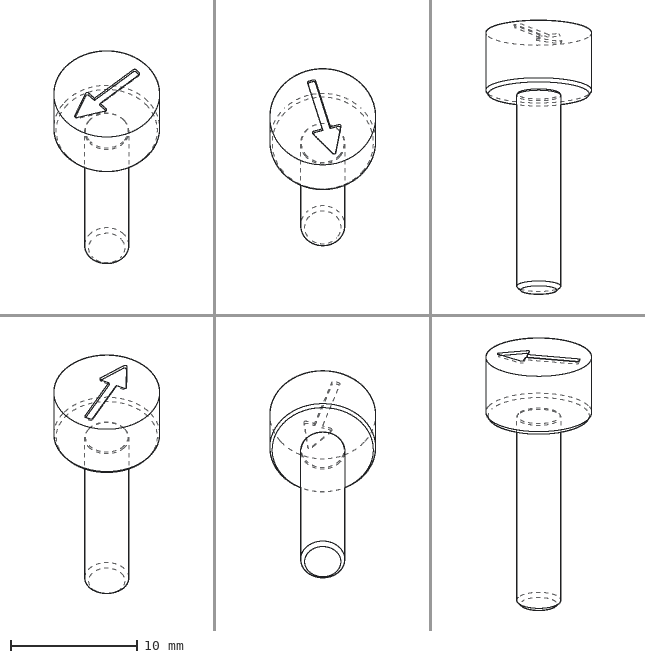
import cadquery as cq

total_length = 21.0
head_diameter = 8.4
head_height = 5.0
head_chamfer_height = 0.3
head_chamfer_width = 0.19
pin_diameter = 3.5
pin_tip_chamfer = 0.32
neck_height = 0.13
neck_inset = 0.06

arrow_depth = 0.2
arrow_wall_taper = 12.0
arrow_tail_y = 3.3
arrow_shoulder_y = -1.0
arrow_tip_y = -3.55
arrow_shaft_width = 0.67
arrow_head_width = 2.52
arrow_corner_radius = 0.15


def turned_body():
    """Head and pin, revolved about Z with the pin tip at z = 0."""
    head_radius = head_diameter / 2
    pin_radius = pin_diameter / 2
    head_bottom = total_length - head_height
    neck_radius = pin_radius - neck_inset
    profile = [
        (0, 0),
        (pin_radius - pin_tip_chamfer, 0),
        (pin_radius, pin_tip_chamfer),
        (pin_radius, head_bottom - neck_height),
        (neck_radius, head_bottom),
        (head_radius - head_chamfer_width, head_bottom),
        (head_radius, head_bottom + head_chamfer_height),
        (head_radius, total_length),
        (0, total_length),
    ]
    return cq.Workplane("XZ").polyline(profile).close().revolve(360, (0, 0), (0, 1))


def tapered_pocket(outline):
    """Cutter sunk from the top face, with sloping walls and rounded corners."""
    prism = outline.close().extrude(-arrow_depth, taper=arrow_wall_taper)
    return prism.edges("not(>Z or <Z)").fillet(arrow_corner_radius)


def arrow_cutter():
    """Arrowhead and shaft of the engraving, joined into one cutter."""
    top_plane = cq.Workplane("XY", origin=(0, 0, total_length))
    half_head = arrow_head_width / 2
    half_shaft = arrow_shaft_width / 2
    shaft_end_y = arrow_shoulder_y + (arrow_tip_y - arrow_shoulder_y) / 4
    arrowhead = tapered_pocket(
        top_plane.polyline([
            (0, arrow_tip_y),
            (half_head, arrow_shoulder_y),
            (-half_head, arrow_shoulder_y),
        ])
    )
    shaft = tapered_pocket(
        top_plane.polyline([
            (-half_shaft, shaft_end_y),
            (half_shaft, shaft_end_y),
            (half_shaft, arrow_tail_y),
            (-half_shaft, arrow_tail_y),
        ])
    )
    return arrowhead.union(shaft)


result = turned_body().cut(arrow_cutter())